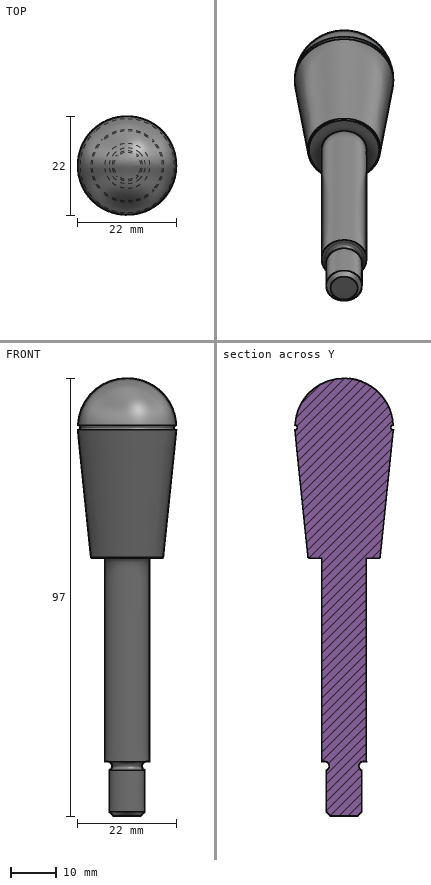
import cadquery as cq
import math

total_height = 97.0

dome_radius = 11.0
dome_center_z = total_height - dome_radius
grip_bottom_z = 57.0
grip_bottom_radius = 8.05
grip_edge_chamfer = 0.3
groove_width = 1.1
groove_top_z = dome_center_z + groove_width / 2
groove_bottom_z = dome_center_z - groove_width / 2
dome_edge_radius = math.sqrt(dome_radius**2 - (groove_width / 2) ** 2)

rod_radius = 10.0 / 2
rod_bottom_z = 12.0

stud_radius = 8.0 / 2
tip_chamfer = 1.0
tip_radius = stud_radius - tip_chamfer
neck_radius = 6.7 / 2
relief_arc_radius = 1.0
relief_center_radius = neck_radius + relief_arc_radius
relief_center_z = rod_bottom_z - relief_arc_radius
stud_top_z = relief_center_z - math.sqrt(relief_arc_radius**2 - (relief_center_radius - stud_radius) ** 2)


def make_grip():
    """Revolve the tapered sleeve, groove and dome as one profile."""
    dome_middle = dome_radius * math.sqrt(0.5)
    return (
        cq.Workplane("XZ")
        .moveTo(0, grip_bottom_z)
        .lineTo(grip_bottom_radius - grip_edge_chamfer, grip_bottom_z)
        .lineTo(grip_bottom_radius, grip_bottom_z + grip_edge_chamfer)
        .lineTo(dome_radius, groove_bottom_z)
        .threePointArc((dome_radius - groove_width / 2, dome_center_z), (dome_edge_radius, groove_top_z))
        .threePointArc((dome_middle, dome_center_z + dome_middle), (0, total_height))
        .close()
        .revolve(360, (0, 0, 0), (0, 1, 0))
    )


def make_rod():
    """Revolve the rod with its chamfered stud and round-bottomed relief neck."""
    return (
        cq.Workplane("XZ")
        .lineTo(tip_radius, 0)
        .lineTo(stud_radius, tip_chamfer)
        .lineTo(stud_radius, stud_top_z)
        .threePointArc((neck_radius, relief_center_z), (relief_center_radius, rod_bottom_z))
        .lineTo(rod_radius, rod_bottom_z)
        .lineTo(rod_radius, grip_bottom_z)
        .lineTo(0, grip_bottom_z)
        .close()
        .revolve(360, (0, 0, 0), (0, 1, 0))
    )


result = make_grip().union(make_rod())